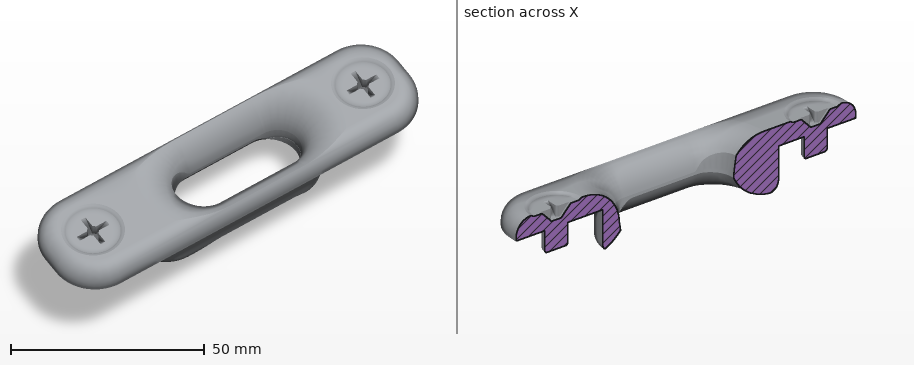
import cadquery as cq
import math

plate_width = 29.0
plate_length = 110.0
corner_radius = 12.0
rim_height = 1.1
edge_round = 5.0
plate_top = rim_height + edge_round

body_radius = 10.8
body_end_y = 16.3
body_start_y = -19.2
body_depth = 13.0
body_round = 3.2

throat_radius = 5.6
throat_end_y = 15.4
throat_start_y = -9.1
throat_bottom_z = -8.2
throat_taper = 8.0
upper_mouth_round = 11.7
upper_mouth_radius = 17.7
upper_end_y = 15.4
upper_start_y = -7.5
lower_mouth_round = 14.3
lower_mouth_radius = 19.6
lower_end_y = 12.4
lower_start_y = -8.8
overcut = 1.1

screw_y = 41.9
countersink_diameter = 16.5
head_diameter = 14.3
head_sink = 0.5
pin_diameter = 7.6
pin_length = 6.6
pin_chamfer = 0.5

cross_reach = 4.6
cross_width = 1.4
cross_core_radius = 1.5
cross_depth = 3.3


def make_plate():
    """Rounded bar with a large round along its upper edge."""
    bar = cq.Workplane("XY").rect(plate_width, plate_length).extrude(plate_top)
    return bar.edges("|Z").fillet(corner_radius).faces(">Z").edges().fillet(edge_round)


def make_body():
    """Round-ended block with a rounded lower edge, reaching up into the plate."""
    span = body_end_y - body_start_y
    middle_y = (body_end_y + body_start_y) / 2
    block = (
        cq.Workplane("XY")
        .workplane(offset=-body_depth)
        .center(0, middle_y)
        .slot2D(span + 2 * body_radius, 2 * body_radius, 90)
        .extrude(body_depth + rim_height)
    )
    return block.faces("<Z").edges().fillet(body_round)


def make_throat_cutter():
    """Round-ended slot that widens upward."""
    span = throat_end_y - throat_start_y
    slot = (
        cq.Workplane("XY")
        .workplane(offset=throat_bottom_z)
        .center(0, (throat_end_y + throat_start_y) / 2)
        .slot2D(span + 2 * throat_radius, 2 * throat_radius, 90)
    )
    return slot.extrude(plate_top - throat_bottom_z, taper=-throat_taper)


def make_mouth_cutter(mouth_radius, round_radius, face_z, start_y, end_y, outward):
    """Flared slot cutter whose side is a quarter arc that runs out flat into the face at face_z.

    outward is +1 for a mouth that opens upward and -1 for one that opens downward.
    """
    inner_radius = mouth_radius - round_radius
    inner_z = face_z - outward * round_radius
    outer_z = face_z + outward * overcut
    middle_offset = round_radius * math.cos(math.radians(45))
    arc_middle = (mouth_radius - middle_offset, inner_z + outward * middle_offset)

    def half_profile():
        return (
            cq.Workplane("XZ")
            .moveTo(0, inner_z)
            .lineTo(inner_radius, inner_z)
            .threePointArc(arc_middle, (mouth_radius, face_z))
            .lineTo(mouth_radius, outer_z)
            .lineTo(0, outer_z)
            .close()
        )

    round_end = half_profile().revolve(360, (0, 0, 0), (0, 1, 0))
    side = half_profile().extrude(start_y - end_y).translate((0, start_y, 0))
    return (
        side.union(side.mirror("YZ"))
        .union(round_end.translate((0, start_y, 0)))
        .union(round_end.translate((0, end_y, 0)))
    )


def make_pin():
    """Chamfered screw tip below the plate."""
    pin = cq.Workplane("XY").workplane(offset=-pin_length).circle(pin_diameter / 2)
    return pin.extrude(pin_length + rim_height).faces("<Z").chamfer(pin_chamfer)


def make_head_cutter():
    """Tapered head recess with a cross recess in its floor."""
    floor_z = plate_top - head_sink
    cutter = (
        cq.Workplane("XY")
        .workplane(offset=floor_z)
        .circle(head_diameter / 2)
        .workplane(offset=head_sink)
        .circle(countersink_diameter / 2)
        .loft()
    )
    core = cq.Workplane("XY").workplane(offset=floor_z - cross_depth).circle(cross_core_radius)
    cutter = cutter.union(core.extrude(cross_depth))
    for turn in (0, 90):
        arm = (
            cq.Workplane("XZ")
            .moveTo(-cross_reach, floor_z)
            .lineTo(cross_reach, floor_z)
            .lineTo(cross_core_radius, floor_z - cross_depth)
            .lineTo(-cross_core_radius, floor_z - cross_depth)
            .close()
            .extrude(cross_width / 2, both=True)
        )
        cutter = cutter.union(arm.rotate((0, 0, 0), (0, 0, 1), turn))
    return cutter


upper_mouth = make_mouth_cutter(
    upper_mouth_radius, upper_mouth_round, plate_top, upper_start_y, upper_end_y, 1
)
lower_mouth = make_mouth_cutter(
    lower_mouth_radius, lower_mouth_round, -body_depth, lower_start_y, lower_end_y, -1
)
result = make_plate().union(make_body())
result = result.cut(make_throat_cutter()).cut(upper_mouth).cut(lower_mouth)
for y in (-screw_y, screw_y):
    result = result.union(make_pin().translate((0, y, 0)))
    result = result.cut(make_head_cutter().translate((0, y, 0)))